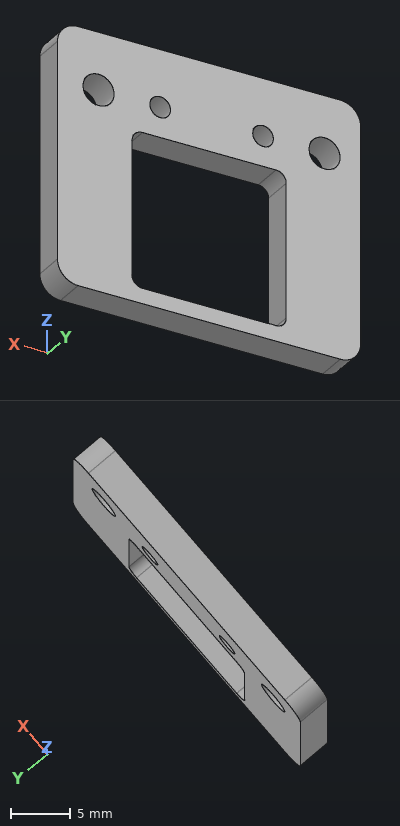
import cadquery as cq

width = 29.52
thickness = 3.0
height = 25.0
corner_radius = 2.0

window_side = 15.0
window_corner_radius = 1.0
window_bottom_margin = 1.5
window_z = -height / 2 + window_bottom_margin + window_side / 2

hole_row_x = -0.25
hole_row_top_margin = 5.58
hole_row_z = height / 2 - hole_row_top_margin
large_hole_diameter = 3.0
large_hole_spacing = 22.0
small_hole_diameter = 2.0
small_hole_spacing = 10.0


def rounded_block(size_x, size_z, radius):
    """Block of the plate thickness with its four Y-direction edges rounded."""
    return cq.Workplane("XY").box(size_x, thickness, size_z).edges("|Y").fillet(radius)


def hole_pair(diameter, spacing):
    """Two through-hole cutters placed symmetrically about the hole row centre."""
    centres = [(hole_row_x + side * spacing / 2, hole_row_z) for side in (-1, 1)]
    return (
        cq.Workplane("XZ")
        .pushPoints(centres)
        .circle(diameter / 2)
        .extrude(thickness / 2, both=True)
    )


plate = rounded_block(width, height, corner_radius)
window = rounded_block(window_side, window_side, window_corner_radius).translate((0, 0, window_z))

result = (
    plate.cut(window)
    .cut(hole_pair(large_hole_diameter, large_hole_spacing))
    .cut(hole_pair(small_hole_diameter, small_hole_spacing))
)